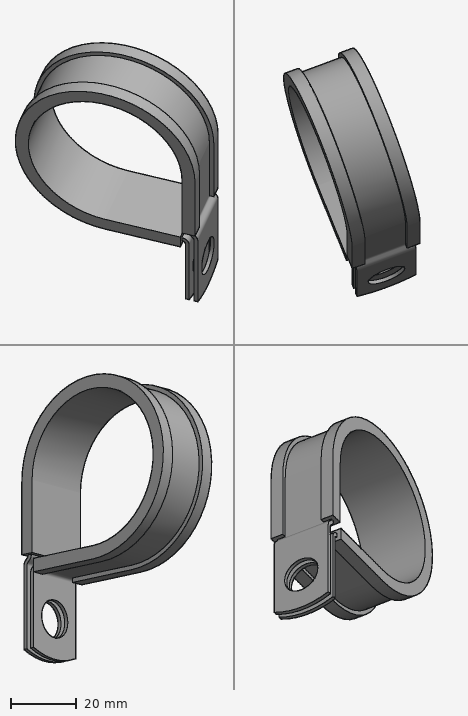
import cadquery as cq
import math

cushion_radius = 28.8
cushion_thickness = 4.2
cushion_width = 22.1
flange_width = 4.2
groove_depth = 1.4
side_end_z = -22.7
bottom_end_x = 24.1

strap_thickness = 1.25
strap_width = 19.3
bend_radius = 1.7
jog_angle = math.radians(45)
part_height = 82.8
outer_tab_face_x = 29.25
tab_end_sagitta = 2.0
hole_diameter = 11.85
hole_to_tab_end = 12.7

groove_radius = cushion_radius - groove_depth
groove_width = cushion_width - 2 * flange_width
strap_radius = groove_radius - strap_thickness / 2
tab_end_z = cushion_radius - part_height
outer_tab_x = outer_tab_face_x - strap_thickness / 2
inner_tab_x = bottom_end_x + bend_radius


def loop_band(outer_radius, inner_radius, width):
    """Three-quarter ring with straight tangent runs, centred on Y = 0."""
    return (
        cq.Workplane("XZ")
        .moveTo(outer_radius, side_end_z)
        .lineTo(outer_radius, 0)
        .threePointArc(
            (-outer_radius * math.sqrt(0.5), outer_radius * math.sqrt(0.5)),
            (0, -outer_radius),
        )
        .lineTo(bottom_end_x, -outer_radius)
        .lineTo(bottom_end_x, -inner_radius)
        .lineTo(0, -inner_radius)
        .threePointArc(
            (-inner_radius * math.sqrt(0.5), inner_radius * math.sqrt(0.5)),
            (inner_radius, 0),
        )
        .lineTo(inner_radius, side_end_z)
        .close()
        .extrude(width / 2, both=True)
    )


def make_cushion():
    body = loop_band(cushion_radius, cushion_radius - cushion_thickness, cushion_width)
    return body.cut(loop_band(cushion_radius, groove_radius, groove_width))


def make_strap():
    """Strap swept from the outer tab, around the loop, to the inner tab."""
    bend_x = bend_radius * (1 - math.cos(jog_angle))
    bend_z = bend_radius * math.sin(jog_angle)
    slope_x = outer_tab_x - strap_radius - 2 * bend_x
    slope_z = slope_x / math.tan(jog_angle)
    jog_bottom_z = side_end_z - 2 * bend_z - slope_z
    path = (
        cq.Workplane("XZ")
        .moveTo(outer_tab_x, tab_end_z)
        .lineTo(outer_tab_x, jog_bottom_z)
        .tangentArcPoint((-bend_x, bend_z))
        .line(-slope_x, slope_z)
        .tangentArcPoint((-bend_x, bend_z))
        .lineTo(strap_radius, 0)
        .threePointArc(
            (-strap_radius * math.sqrt(0.5), strap_radius * math.sqrt(0.5)),
            (0, -strap_radius),
        )
        .lineTo(bottom_end_x, -strap_radius)
        .tangentArcPoint((bend_radius, -bend_radius))
        .lineTo(inner_tab_x, tab_end_z)
    )
    section = cq.Workplane("XY", origin=(outer_tab_x, 0, tab_end_z)).rect(strap_thickness, strap_width)
    return section.sweep(path)


def tab_end_waste():
    """Material below the bowed tab ends, through both tabs."""
    half_width = strap_width / 2
    corner_z = tab_end_z + tab_end_sagitta
    below_z = tab_end_z - tab_end_sagitta
    return (
        cq.Workplane("YZ")
        .moveTo(-half_width, corner_z)
        .threePointArc((0, tab_end_z), (half_width, corner_z))
        .lineTo(half_width, below_z)
        .lineTo(-half_width, below_z)
        .close()
        .extrude(cushion_radius * 2)
    )


def bolt_hole():
    """Bolt clearance through both tabs, along X."""
    return (
        cq.Workplane("YZ")
        .center(0, tab_end_z + hole_to_tab_end)
        .circle(hole_diameter / 2)
        .extrude(cushion_radius * 2)
    )


strap = make_strap().cut(tab_end_waste()).cut(bolt_hole())
result = make_cushion().union(strap)